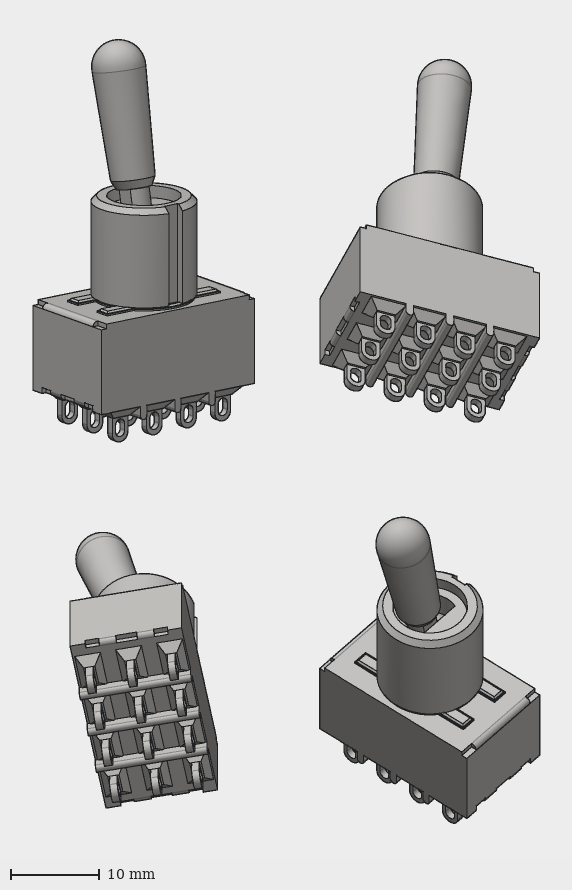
import cadquery as cq
import math


BODY_X = 12.75
BODY_CENTRE_X = -0.05
BODY_Y = 21.6
BODY_BOTTOM = -10.45
SHEET = 0.55
BEND_RADIUS = 0.75
END_PANEL_WIDTH = 9.42
END_PANEL_BOTTOM = -9.77
FRAME_TAB_WIDTH = 1.95
FRAME_TAB_X = 2.15

RELIEF_BASE = 0.17
RELIEF_HEIGHT = 0.45
RELIEF_STEP = 0.15
RELIEF_CHAMFER = 0.2
COLLAR_DIAMETER = 11.4
BAR_WIDTH = 1.9
BAR_LENGTH = 15.95
BAR_X = 2.75

BUSHING_DIAMETER = 11.95
BUSHING_TOP = 11.9
BUSHING_CHAMFER = 0.65
BORE_DIAMETER = 8.4
BORE_DEPTH = 1.45
SLOT_WIDTH = 2.65
SLOT_END_RADIUS = 3.1
KEYWAY_WIDTH = 1.9
KEYWAY_FLOOR = 5.0

TILT = 12.0
TIP_DIAMETER = 6.12
TIP_OVERHANG = 1.35
LEVER_TOP = 28.92
TIP_JOINT_DROP = 0.2
GRIP_LENGTH = 12.7
GRIP_END_DIAMETER = 5.1
GRIP_CHAMFER_LENGTH = 1.05
GRIP_CHAMFER_DIAMETER = 4.1
NECK_DIAMETER = 3.4
NECK_WIDTH = 2.65
PIVOT_BALL_DIAMETER = 8.7
PIVOT_BALL_OFFSET = 1.1
TIP_X = BODY_CENTRE_X - BODY_X / 2 - TIP_OVERHANG + TIP_DIAMETER / 2
TIP_Z = LEVER_TOP - TIP_DIAMETER / 2
LEVER_REACH = -TIP_X / math.sin(math.radians(TILT))
PIVOT_Z = TIP_Z - LEVER_REACH * math.cos(math.radians(TILT))

TERMINAL_BOTTOM = -14.5
TERMINAL_WIDTH = 2.2
TERMINAL_THICKNESS = 0.85
TERMINAL_PITCH_X = 4.7
TERMINAL_PITCH_Y = 4.8
COLUMNS = 3
ROWS = 4
EYE_WIDTH = 1.25
EYE_LENGTH = 2.05
EYE_Z = -12.85
PEDESTAL_HEIGHT = 1.1
PEDESTAL_TOP_X = 2.95
PEDESTAL_TOP_Y = 4.25
PEDESTAL_BOTTOM_X = 1.3
RIDGE_WIDTH = 0.9
RIDGE_BOTTOM = -12.05


def block(size_x, size_y, z_low, z_high, x=0, y=0):
    """Upright block centred on (x, y) between two heights."""
    box = cq.Workplane("XY").box(size_x, size_y, z_high - z_low, centered=(True, True, False))
    return box.translate((x, y, z_low))


def centred_steps(count, pitch):
    """Evenly spaced places, symmetric about zero."""
    return [(i - (count - 1) / 2) * pitch for i in range(count)]


def make_body():
    """Moulded block with the frame's top sheet and its two folded end panels."""
    body = block(BODY_X, BODY_Y, BODY_BOTTOM, -SHEET, x=BODY_CENTRE_X)
    for end in (-1, 1):
        gap_y = end * (BODY_Y - SHEET) / 2
        body = body.cut(block(END_PANEL_WIDTH, SHEET, BODY_BOTTOM, END_PANEL_BOTTOM, y=gap_y))
    for x in (-FRAME_TAB_X, FRAME_TAB_X):
        tab = block(FRAME_TAB_WIDTH, BODY_Y, BODY_BOTTOM, END_PANEL_BOTTOM, x=x)
        body = body.union(tab.edges("|X and <Z").fillet(SHEET))
    top_sheet = block(BODY_X, BODY_Y - 2 * BEND_RADIUS, -SHEET, 0, x=BODY_CENTRE_X)
    panels = block(END_PANEL_WIDTH, BODY_Y, END_PANEL_BOTTOM, 0).edges("|X and >Z").fillet(BEND_RADIUS)
    return body.union(top_sheet).union(panels)


def make_relief():
    """Collar and bars: a thin base with a narrower, chamfered layer on top."""
    collar = cq.Workplane("XY").circle(COLLAR_DIAMETER / 2).extrude(RELIEF_BASE)
    collar_top = cq.Workplane("XY").circle(COLLAR_DIAMETER / 2 - RELIEF_STEP).extrude(RELIEF_HEIGHT)
    relief = collar.union(collar_top.faces(">Z").chamfer(RELIEF_CHAMFER))
    for x in (-BAR_X, BAR_X):
        bar = block(BAR_WIDTH, BAR_LENGTH, 0, RELIEF_BASE, x=x)
        bar_top = block(BAR_WIDTH - 2 * RELIEF_STEP, BAR_LENGTH - 2 * RELIEF_STEP, 0, RELIEF_HEIGHT, x=x)
        relief = relief.union(bar).union(bar_top.faces(">Z").chamfer(RELIEF_CHAMFER))
    return relief


def make_bushing():
    """Round bushing with a shallow bore, a lever slot and a keyway on the +X side."""
    bushing = cq.Workplane("XY").workplane(offset=RELIEF_HEIGHT).circle(BUSHING_DIAMETER / 2)
    bushing = bushing.extrude(BUSHING_TOP - RELIEF_HEIGHT)
    bushing = bushing.faces(">Z").chamfer(BUSHING_CHAMFER)
    bushing = bushing.faces(">Z").workplane().circle(BORE_DIAMETER / 2).cutBlind(-BORE_DEPTH)
    slot = cq.Workplane("XY").workplane(offset=PIVOT_Z).circle(SLOT_END_RADIUS)
    slot = slot.extrude(BUSHING_TOP - PIVOT_Z)
    slot = slot.intersect(block(2 * SLOT_END_RADIUS, SLOT_WIDTH, PIVOT_Z, BUSHING_TOP))
    keyway_depth = BUSHING_DIAMETER / 2 - KEYWAY_FLOOR
    keyway_x = KEYWAY_FLOOR + keyway_depth / 2
    keyway = block(keyway_depth, KEYWAY_WIDTH, RELIEF_HEIGHT, BUSHING_TOP, x=keyway_x)
    return bushing.cut(slot).cut(keyway)


def make_lever():
    """Pivot ball, flat-sided neck and tapered grip with a round tip, built upright then tilted."""
    tip_radius = TIP_DIAMETER / 2
    joint_radius = math.sqrt(tip_radius**2 - TIP_JOINT_DROP**2)
    grip_low = LEVER_REACH - GRIP_LENGTH
    grip_bottom = grip_low - GRIP_CHAMFER_LENGTH
    grip = (
        cq.Workplane("XZ")
        .moveTo(0, grip_bottom)
        .lineTo(GRIP_CHAMFER_DIAMETER / 2, grip_bottom)
        .lineTo(GRIP_END_DIAMETER / 2, grip_low)
        .lineTo(joint_radius, LEVER_REACH - TIP_JOINT_DROP)
        .threePointArc((tip_radius, LEVER_REACH), (0, LEVER_REACH + tip_radius))
        .close()
        .revolve(360, (0, 0, 0), (0, 1, 0))
    )
    neck = cq.Workplane("XY").circle(NECK_DIAMETER / 2).extrude(grip_low)
    neck = neck.intersect(block(NECK_DIAMETER, NECK_WIDTH, 0, grip_low))
    ball = cq.Workplane("XY").sphere(PIVOT_BALL_DIAMETER / 2).translate((0, 0, PIVOT_BALL_OFFSET))
    lever = grip.union(neck).union(ball)
    return lever.rotate((0, 0, 0), (0, 1, 0), -TILT).translate((0, 0, PIVOT_Z))


def make_terminal(x, y):
    """Solder lug with a rounded end and an oblong eye, on a tapered pedestal."""
    pedestal = (
        cq.Workplane("XY")
        .workplane(offset=BODY_BOTTOM - PEDESTAL_HEIGHT)
        .rect(PEDESTAL_BOTTOM_X, TERMINAL_WIDTH)
        .workplane(offset=PEDESTAL_HEIGHT)
        .rect(PEDESTAL_TOP_X, PEDESTAL_TOP_Y)
        .loft()
    )
    half = TERMINAL_WIDTH / 2
    lug = (
        cq.Workplane("YZ")
        .moveTo(-half, BODY_BOTTOM)
        .lineTo(-half, TERMINAL_BOTTOM + half)
        .threePointArc((0, TERMINAL_BOTTOM), (half, TERMINAL_BOTTOM + half))
        .lineTo(half, BODY_BOTTOM)
        .close()
        .extrude(TERMINAL_THICKNESS / 2, both=True)
    )
    eye = cq.Workplane("YZ").center(0, EYE_Z).slot2D(EYE_LENGTH, EYE_WIDTH, 90)
    lug = lug.cut(eye.extrude(TERMINAL_THICKNESS, both=True))
    return pedestal.union(lug).translate((x, y, 0))


def make_ridge(y):
    """Rib with a rounded bottom between two rows of terminals."""
    half = RIDGE_WIDTH / 2
    ridge = (
        cq.Workplane("YZ")
        .moveTo(-half, BODY_BOTTOM)
        .lineTo(-half, RIDGE_BOTTOM + half)
        .threePointArc((0, RIDGE_BOTTOM), (half, RIDGE_BOTTOM + half))
        .lineTo(half, BODY_BOTTOM)
        .close()
        .extrude(BODY_X / 2, both=True)
    )
    return ridge.translate((BODY_CENTRE_X, y, 0))


result = make_body().union(make_relief()).union(make_bushing()).union(make_lever())
for row_y in centred_steps(ROWS, TERMINAL_PITCH_Y):
    for column_x in centred_steps(COLUMNS, TERMINAL_PITCH_X):
        result = result.union(make_terminal(column_x, row_y))
for ridge_y in centred_steps(ROWS - 1, TERMINAL_PITCH_Y):
    result = result.union(make_ridge(ridge_y))